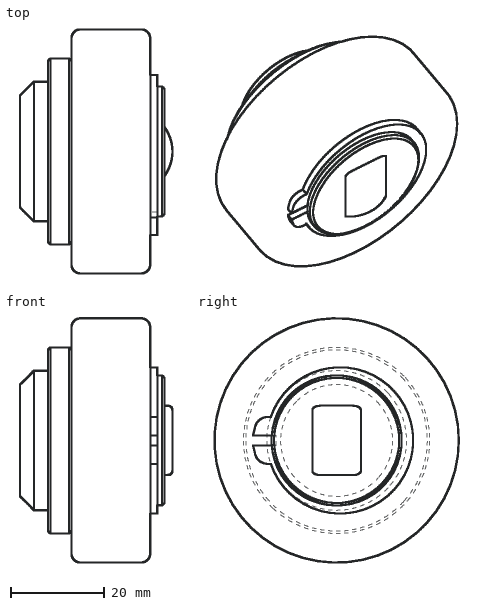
import cadquery as cq

bevel_end = 3.0
flange_start = 6.0
wheel_start = 11.0
wheel_end = 28.0
ring_end = 29.5
cap_end = 31.0
overall_length = 32.75

hub_radius = 15.0
flange_radius = 20.0
wheel_radius = 26.25
groove_radius = 13.0
cap_radius = 13.95

edge_chamfer = 0.5
wheel_fillet = 2.0

ring_radius = 15.7
ring_offset = 0.75
lug_tip = 17.95
lug_half_width = 5.05
lug_side_end = 14.75
lug_shoulder = 17.6
lug_shoulder_half_width = 2.5
ring_gap = 2.1

key_radius = 8.75
key_width = 14.9
key_fillet = 1.0


def disc(start, end, radius):
    """Plain cylinder on the X axis between two positions."""
    return cq.Workplane("YZ", origin=(start, 0, 0)).circle(radius).extrude(end - start)


def make_snap_ring():
    """Eccentric ring with rounded lugs, split at the gap between them."""
    thickness = ring_end - wheel_end
    plane = cq.Workplane("YZ", origin=(wheel_end, 0, 0))
    ring = plane.center(ring_offset, 0).circle(ring_radius).extrude(thickness)
    lug = (
        plane.moveTo(0, 0)
        .lineTo(0, lug_half_width)
        .lineTo(-lug_side_end, lug_half_width)
        .tangentArcPoint((-lug_shoulder, lug_shoulder_half_width), relative=False)
        .lineTo(-lug_tip, ring_gap / 2)
        .lineTo(-lug_tip, 0)
        .close()
        .extrude(thickness)
    )
    lugs = lug.union(lug.mirror("XY"))
    gap = plane.center(-lug_tip / 2, 0).rect(lug_tip, ring_gap).extrude(thickness)
    return ring.union(lugs).cut(gap)


def make_key():
    """Disc whose rounded crown stands out of the cap face."""
    return (
        cq.Workplane("XY", origin=(overall_length - key_radius, 0, -key_width / 2))
        .circle(key_radius)
        .extrude(key_width)
        .edges()
        .fillet(key_fillet)
    )


hub = disc(0, flange_start, hub_radius).faces("<X").chamfer(bevel_end)
flange = disc(flange_start, wheel_start, flange_radius).edges().chamfer(edge_chamfer)
wheel = disc(wheel_start, wheel_end, wheel_radius).edges().fillet(wheel_fillet)
groove_core = disc(wheel_end, ring_end, groove_radius)
cap = disc(ring_end, cap_end, cap_radius).faces(">X").chamfer(edge_chamfer)

result = hub
for body in (flange, wheel, groove_core, make_snap_ring(), cap, make_key()):
    result = result.union(body)